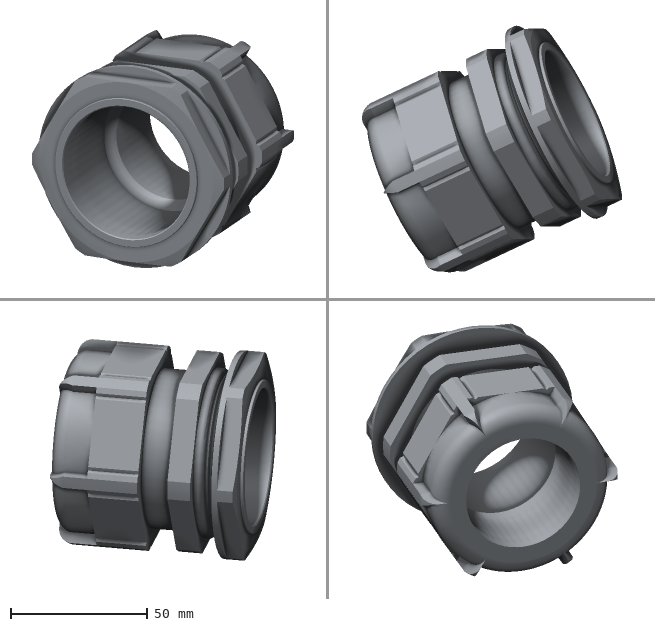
import cadquery as cq
import math


nut_face = 1.1
flange_start = 7.7
flange_end = 9.85
collar_start = 14.5
body_hex_start = 18.1
body_hex_end = 26.65
cap_start = 37.8
cap_flats_end = 56.7
cap_end = 71.7

flange_radius = 38.5
nut_apothem = 34.4
nut_chamfer_height = 0.8

thread_radius = 29.65
thread_pitch = 1.55
thread_depth = 0.9
thread_groove_width = 1.3
thread_overshoot = 0.1
thread_start_angle = 90
stub_end_radius = 28.4
stub_end_chamfer = 0.15

collar_radius = 31.4
collar_round = 1.8
body_hex_apothem = 33.8
body_hex_corner_radius = 37.1
neck_radius = 29.6

cap_radius = 33.9
cap_rib_radius = 37.9
cap_round = 5.8
panel_groove_inner = 12.6
panel_groove_bottom = 13.8
panel_groove_outer = 14.8
panel_groove_depth = 0.85

bore_radius = 25.3
bore_end_radius = 21.95
bore_chamfer = 0.4
bore_taper_start = cap_start
bore_taper_end = bore_taper_start + bore_radius - bore_end_radius

SIDES = 6
SIDE_ANGLE = 360 / SIDES


def disc(radius, start, end):
    return cq.Workplane("XY").workplane(offset=start).circle(radius).extrude(end - start)


def rounded_hexagon(apothem, corner_radius, start, end):
    """Hexagonal prism with corners on the X axis, turned down to corner_radius."""
    corner_distance = apothem / math.cos(math.radians(SIDE_ANGLE / 2))
    prism = (
        cq.Workplane("XY")
        .workplane(offset=start)
        .polygon(SIDES, 2 * corner_distance)
        .extrude(end - start)
    )
    return prism.intersect(disc(corner_radius, start, end))


def domed_disc(radius, start):
    """Disc reaching the cap end with a rounded outer rim there."""
    return disc(radius, start, cap_end).faces(">Z").edges().fillet(cap_round)


def make_lock_nut():
    hexagon = rounded_hexagon(nut_apothem, flange_radius, nut_face, flange_start)
    chamfer_envelope = (
        cq.Workplane("XZ")
        .moveTo(0, nut_face)
        .lineTo(nut_apothem, nut_face)
        .lineTo(flange_radius, nut_face + nut_chamfer_height)
        .lineTo(flange_radius, flange_start)
        .lineTo(0, flange_start)
        .close()
        .revolve(360, (0, 0, 0), (0, 1, 0))
    )
    return hexagon.intersect(chamfer_envelope).union(disc(flange_radius, flange_start, flange_end))


def make_stub():
    tip = disc(stub_end_radius, 0, flange_start).faces("<Z").edges().chamfer(stub_end_chamfer)
    return tip.union(disc(thread_radius, flange_start, body_hex_start))


def make_thread_groove():
    """Helical V groove along the exposed stretch of the stub."""
    helix_start = flange_end - thread_pitch / 2
    helix_height = collar_start - helix_start + thread_pitch / 2
    path = cq.Wire.makeHelix(thread_pitch, helix_height, thread_radius, cq.Vector(0, 0, helix_start))
    slope = thread_groove_width / 2 / thread_depth
    half_mouth = slope * (thread_depth + thread_overshoot)
    mouth_radius = thread_radius + thread_overshoot
    return (
        cq.Workplane("XZ")
        .moveTo(thread_radius - thread_depth, helix_start)
        .lineTo(mouth_radius, helix_start + half_mouth)
        .lineTo(mouth_radius, helix_start - half_mouth)
        .close()
        .sweep(cq.Workplane(path), isFrenet=True)
        .rotate((0, 0, 0), (0, 0, 1), thread_start_angle)
    )


def make_body():
    collar = disc(collar_radius, collar_start, body_hex_start).faces("<Z").edges().fillet(collar_round)
    hexagon = rounded_hexagon(body_hex_apothem, body_hex_corner_radius, body_hex_start, body_hex_end)
    neck = disc(neck_radius, body_hex_end, cap_start)
    return collar.union(hexagon).union(neck)


def make_cap_ribs():
    """Six corner ribs; each narrows to a ridge across the rounded rim."""
    corner_half_angle = math.radians(SIDE_ANGLE / 2) - math.acos(cap_radius / cap_rib_radius)
    half_width = cap_rib_radius * math.sin(corner_half_angle)
    shoulder = cap_end - cap_round
    rib_root = cap_radius - cap_round
    blade = (
        cq.Workplane("YZ")
        .workplane(offset=rib_root)
        .moveTo(-half_width, cap_flats_end)
        .lineTo(half_width, cap_flats_end)
        .lineTo(half_width, shoulder)
        .lineTo(0, cap_end)
        .lineTo(-half_width, shoulder)
        .close()
        .extrude(cap_rib_radius - rib_root)
    )
    blades = blade
    for side in range(1, SIDES):
        blades = blades.union(blade.rotate((0, 0, 0), (0, 0, 1), side * SIDE_ANGLE))
    return blades.intersect(domed_disc(cap_rib_radius, cap_flats_end))


def make_panel_grooves():
    """V grooves framing the panel on each cap flat, running along the axis."""
    groove = (
        cq.Workplane("XY")
        .workplane(offset=cap_start)
        .moveTo(panel_groove_inner, cap_radius)
        .lineTo(panel_groove_bottom, cap_radius - panel_groove_depth)
        .lineTo(panel_groove_outer, cap_radius)
        .close()
        .extrude(cap_flats_end - cap_start)
    )
    pair = groove.union(groove.mirror("YZ"))
    grooves = pair
    for side in range(1, SIDES):
        grooves = grooves.union(pair.rotate((0, 0, 0), (0, 0, 1), side * SIDE_ANGLE))
    return grooves


def make_cap():
    flats = rounded_hexagon(cap_radius, cap_rib_radius, cap_start, cap_flats_end)
    crown = domed_disc(cap_radius, cap_flats_end)
    return flats.cut(make_panel_grooves()).union(crown).union(make_cap_ribs())


def make_bore():
    return (
        cq.Workplane("XZ")
        .moveTo(0, 0)
        .lineTo(bore_radius + bore_chamfer, 0)
        .lineTo(bore_radius, bore_chamfer)
        .lineTo(bore_radius, bore_taper_start)
        .lineTo(bore_end_radius, bore_taper_end)
        .lineTo(bore_end_radius, cap_end)
        .lineTo(0, cap_end)
        .close()
        .revolve(360, (0, 0, 0), (0, 1, 0))
    )


stub = make_stub().cut(make_thread_groove())
gland = stub.union(make_lock_nut()).union(make_body()).union(make_cap()).cut(make_bore())
result = gland.rotate((0, 0, 0), (1, 0, 0), -90)